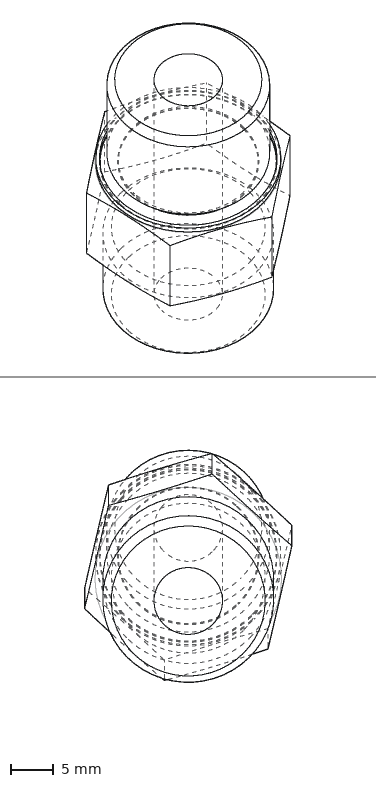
import cadquery as cq
import math

total_height = 38.5
hex_bottom = 12.0
hex_top = 23.8
collar_top = 24.5
upper_body_bottom = 25.5

bore_diameter = 8.0
lower_body_diameter = 20.0
upper_body_diameter = 19.05
neck_diameter = 16.35
collar_diameter = 21.65
hex_face_diameter = 21.8
groove_diameter = 20.75

hex_across_flats = 22.0
hex_across_corners = hex_across_flats / math.cos(math.pi / 6)
hex_chamfer_angle = math.radians(15)
lower_chamfer = 1.0
upper_chamfer = 0.92


def revolve_profile(profile):
    """Turn a closed (radius, height) profile about the Z axis."""
    return profile.close().revolve(360, (0, 0, 0), (0, 1, 0))


def make_hexagon():
    """Hexagon with corners on Y and both ends turned to a shallow cone."""
    height = hex_top - hex_bottom
    prism = (
        cq.Workplane("XY", origin=(0, 0, hex_bottom))
        .polygon(6, hex_across_corners)
        .extrude(height)
        .rotate((0, 0, 0), (0, 0, 1), 30)
    )
    flat_radius = hex_face_diameter / 2
    corner_radius = hex_across_corners / 2
    drop = (corner_radius - flat_radius) * math.tan(hex_chamfer_angle)
    envelope = revolve_profile(
        cq.Workplane("XZ")
        .moveTo(0, hex_bottom)
        .lineTo(flat_radius, hex_bottom)
        .lineTo(corner_radius, hex_bottom + drop)
        .lineTo(corner_radius, hex_top - drop)
        .lineTo(flat_radius, hex_top)
        .lineTo(0, hex_top)
    )
    return prism.intersect(envelope)


def make_lower_body():
    """Lower cylinder, chamfered at its end and where it meets the hexagon."""
    return (
        cq.Workplane("XY")
        .circle(lower_body_diameter / 2)
        .extrude(hex_bottom)
        .faces("<Z or >Z")
        .chamfer(lower_chamfer)
    )


def make_upper_end():
    """Collar with a seal ring seated flush in its groove, neck and upper cylinder."""
    body_radius = upper_body_diameter / 2
    neck_radius = neck_diameter / 2
    groove_radius = groove_diameter / 2
    neck_height = upper_body_bottom - (body_radius - neck_radius)
    ring_radius = (groove_radius - neck_radius) / 2
    ring_middle = (groove_radius + neck_radius) / 2
    ring_center_height = collar_top - ring_radius
    return revolve_profile(
        cq.Workplane("XZ")
        .moveTo(0, hex_bottom)
        .lineTo(collar_diameter / 2, hex_bottom)
        .lineTo(collar_diameter / 2, collar_top)
        .lineTo(groove_radius, collar_top)
        .lineTo(groove_radius, ring_center_height)
        .threePointArc((ring_middle, collar_top), (neck_radius, ring_center_height))
        .lineTo(neck_radius, neck_height)
        .lineTo(body_radius, upper_body_bottom)
        .lineTo(body_radius, total_height - upper_chamfer)
        .lineTo(body_radius - upper_chamfer, total_height)
        .lineTo(0, total_height)
    )


bore = cq.Workplane("XY").circle(bore_diameter / 2).extrude(total_height)

result = make_lower_body().union(make_hexagon()).union(make_upper_end()).cut(bore)